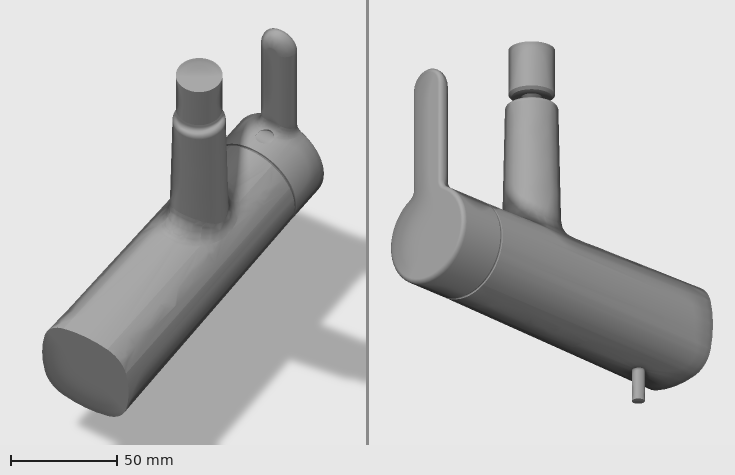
import cadquery as cq
import math

body_length = 169.2
body_width = 48.5
body_half = body_width / 2
side_arc_radius = 50.8
corner_arc_radius = 14.4
cap_end_round = 2.0

groove_start = 142.8
groove_width = 1.5
groove_depth = 1.0

spout_y = 97.8
spout_base_z = 34.2
spout_base_radius = 13.7
spout_top_z = 88.2
spout_top_radius = 12.5
spout_edge_round = 2.2
spout_root_fillet = 9.3
stem_radius = 4.9
knob_bottom_z = 92.7
knob_top_z = 116.7
knob_radius = 11.0
knob_chamfer = 1.4

lever_width = 18.6
lever_thickness = 8.5
lever_top_z = 85.0
lever_front_round = 6.3
lever_root_fillet = 4.2

indicator_y = 154.1
indicator_radius = 4.4
indicator_depth = 0.5

pin_y = 25.4
pin_radius = 3.0
pin_bottom_z = -40.1


def outline_joint():
    """Half-width and height, from the axis, of the ends of the top side arc, and the corner middle."""
    center_offset = side_arc_radius - body_half
    center_distance = side_arc_radius - corner_arc_radius
    corner_center = (math.sqrt(2 * center_distance**2 - center_offset**2) - center_offset) / 2
    joint_angle = math.asin(corner_center / center_distance)
    near = side_arc_radius * math.sin(joint_angle)
    far = side_arc_radius * math.cos(joint_angle) - center_offset
    diagonal = corner_center + corner_arc_radius / math.sqrt(2)
    return near, far, diagonal


def closed_outline(y, near, far, diagonal):
    """Closed wire of four side arcs and four corner arcs, square to the Y axis."""
    middle = body_half
    path = cq.Workplane("XZ", origin=(0, y, 0)).moveTo(-near, far)
    quarter_turns = ((1, 0), (0, -1), (-1, 0), (0, 1))
    for cos_turn, sin_turn in quarter_turns:
        def turned(x, z):
            return (x * cos_turn - z * sin_turn, x * sin_turn + z * cos_turn)

        path = path.threePointArc(turned(0, middle), turned(near, far))
        path = path.threePointArc(turned(diagonal, diagonal), turned(far, near))
    return path.close().val()


def make_bar():
    """Body bar blending from a rounded-square front to a circular rear."""
    near, far, diagonal = outline_joint()
    to_circle = body_half / math.hypot(near, far)
    front = closed_outline(0, near, far, diagonal)
    rear = closed_outline(groove_start, near * to_circle, far * to_circle, body_half / math.sqrt(2))
    return cq.Workplane(cq.Solid.makeLoft([front, rear], True))


def disc(start, end, radius):
    """Cylinder on the body axis between two Y positions."""
    return cq.Workplane("XZ", origin=(0, start, 0)).circle(radius).extrude(start - end)


def make_spout():
    """Tapered neck, running down to the body axis, with a rounded top edge."""
    taper = (spout_base_radius - spout_top_radius) / (spout_top_z - spout_base_z)
    axis_radius = spout_base_radius + taper * spout_base_z
    return (
        cq.Workplane("XZ")
        .polyline([(0, 0), (axis_radius, 0), (spout_top_radius, spout_top_z), (0, spout_top_z)])
        .close()
        .revolve(360, (0, 0), (0, 1))
        .faces(">Z")
        .edges()
        .fillet(spout_edge_round)
        .translate((0, spout_y, 0))
    )


def make_knob():
    """Push knob on its stem, seated on the spout."""
    stem = cq.Workplane("XY").workplane(offset=spout_top_z).circle(stem_radius)
    knob = cq.Workplane("XY").workplane(offset=knob_bottom_z).circle(knob_radius)
    knob = knob.extrude(knob_top_z - knob_bottom_z).faces("<Z").chamfer(knob_chamfer)
    return stem.extrude(knob_bottom_z - spout_top_z).union(knob).translate((0, spout_y, 0))


def make_lever():
    """Upright handle with a semicircular tip and a softly rounded front."""
    half = lever_width / 2
    shoulder_z = lever_top_z - half
    lever = (
        cq.Workplane("XZ", origin=(0, body_length, 0))
        .moveTo(-half, 0)
        .lineTo(-half, shoulder_z)
        .threePointArc((0, lever_top_z), (half, shoulder_z))
        .lineTo(half, 0)
        .close()
        .extrude(lever_thickness)
    )
    return lever.faces("<Y").edges("not <Z").fillet(lever_front_round)


def root_edges(y_start, y_end):
    """Selector for the edges where an upright meets the top of the body."""
    lowest_root = body_half * 0.7
    highest_root = body_half + 0.8
    return cq.selectors.BoxSelector((-body_half, y_start, lowest_root), (body_half, y_end, highest_root))


def make_body():
    """Main bar with the spout blended into its top."""
    joined = make_bar().union(make_spout())
    reach = spout_base_radius + 1.7
    roots = root_edges(spout_y - reach, spout_y + reach)
    return joined.edges(roots).fillet(spout_root_fillet)


def make_cap():
    """Rotating rear cap carrying the lever and the indicator recess."""
    cap = disc(groove_start + groove_width, body_length, body_half)
    cap = cap.union(make_lever())
    lever_front_y = body_length - lever_thickness
    roots = root_edges(lever_front_y - 0.8, body_length - 0.2)
    cap = cap.edges(roots).fillet(lever_root_fillet)
    cap = cap.faces(">Y").edges().fillet(cap_end_round)
    recess = cq.Workplane("XY", origin=(0, indicator_y, body_half - indicator_depth))
    recess = recess.circle(indicator_radius).extrude(2 * indicator_depth)
    return cap.cut(recess)


groove_core = disc(groove_start, groove_start + groove_width, body_half - groove_depth)
pin = cq.Workplane("XY", origin=(0, pin_y, pin_bottom_z)).circle(pin_radius).extrude(-pin_bottom_z)

result = make_body().union(groove_core).union(make_cap()).union(make_knob()).union(pin)